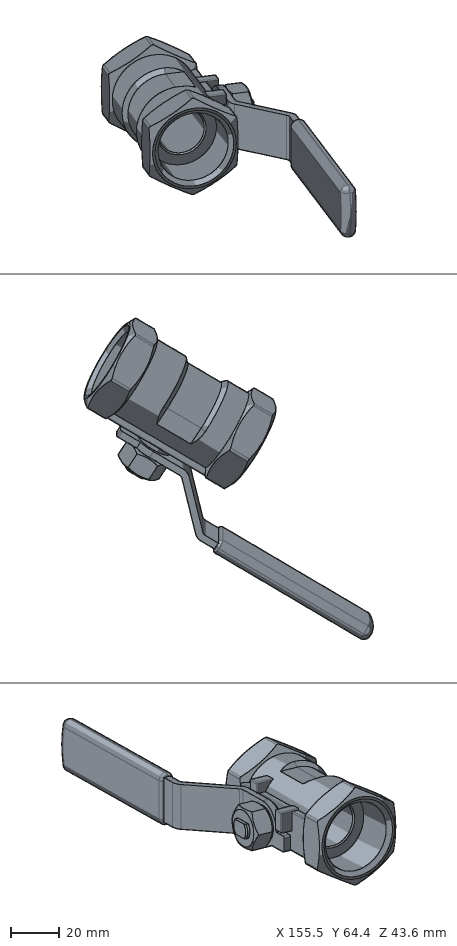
import cadquery as cq
import math


overall_length = 155.5
overall_height = 64.4

housing_length = 71.0
hex_across_flats = 38.1
hex_length = 13.2
hex_corner_radius = 1.2
barrel_diameter = 36.2
cone_angle = 30.0
waist_radius = 16.2
waist_start = -6.2
waist_end = 10.3

port_diameter = 30.3
port_depth = 18.7
port_chamfer = 1.9
seat_diameter = 20.0
seat_chamfer = 0.6

deck_height = 19.0
deck_half_width = 8.9
small_round = 0.5
stop_root = 10.9
lever_stop_x = (-14.3, -9.6)
lever_stop_top = 24.3
lever_stop_z = (0.3, 9.5)
side_stop_x = (10.1, 15.2)
side_stop_top = 20.0
side_stop_z = (deck_half_width, 13.7)

lever_thickness = 3.1
lever_width = 20.0
lever_bottom = 20.8
bend_angle = 45.0
bend_radius = 4.0
lower_bend_x = 16.2
tab_reach = 16.0
tab_z = (-7.8, -0.6)
tab_round = 0.8

neck_diameter = 16.0
nut_across_corners = 20.0
washer_height = 0.6
nut_top = 33.7
stem_diameter = 10.3
stem_across_flats = 6.5
stem_top = 35.5
stem_chamfer = 0.6

sleeve_thickness = 6.4
sleeve_length = 76.0
sleeve_end_sagitta = 1.7
sleeve_edge_radius = 3.1
sleeve_mouth_radius = 1.2

housing_end = housing_length / 2
barrel_radius = barrel_diameter / 2
waist_chamfer = barrel_radius - waist_radius
lever_top = lever_bottom + lever_thickness
nut_bottom = lever_top + washer_height
lever_middle_low = (lever_bottom + lever_top) / 2
lever_middle_high = overall_height - hex_across_flats / 2 - sleeve_thickness / 2
sleeve_wall = (sleeve_thickness - lever_thickness) / 2
sleeve_width = lever_width + 2 * sleeve_wall
sleeve_tip = overall_length - housing_end
sleeve_start = sleeve_tip - sleeve_length
bar_end = sleeve_tip - sleeve_end_sagitta - sleeve_wall


def block(x_range, y_range, z_range):
    """Box between the given limits."""
    size = [high - low for low, high in (x_range, y_range, z_range)]
    corner = (x_range[0], y_range[0], z_range[0])
    return cq.Workplane("XY").box(*size, centered=False).translate(corner)


def stem_cylinder(diameter, bottom, top):
    """Cylinder on the stem axis between two heights along Y."""
    return cq.Workplane("XZ", origin=(0, bottom, 0)).circle(diameter / 2).extrude(bottom - top)


def double_cone(axis_length, outer_radius, face_radius):
    """Cylinder on X whose two ends are turned down to face_radius by a cone."""
    cone_length = (outer_radius - face_radius) * math.tan(math.radians(cone_angle))
    outline = [
        (0, 0),
        (0, face_radius),
        (cone_length, outer_radius),
        (axis_length - cone_length, outer_radius),
        (axis_length, face_radius),
        (axis_length, 0),
    ]
    return cq.Workplane("XY").polyline(outline).close().revolve(360, (0, 0, 0), (1, 0, 0))


def end_hexagon(start_x):
    """Hexagonal pipe end with flats facing +Y and -Y and turned-down corners."""
    across_corners = hex_across_flats / math.cos(math.pi / 6)
    hexagon = cq.Workplane("YZ").polygon(6, across_corners).extrude(hex_length)
    hexagon = hexagon.edges("|X").fillet(hex_corner_radius)
    hexagon = hexagon.rotate((0, 0, 0), (1, 0, 0), 30)
    turned = double_cone(hex_length, across_corners / 2, barrel_radius)
    return hexagon.intersect(turned).translate((start_x, 0, 0))


def waist_groove(overrun):
    """Groove section in X and radius; its sloped sides run past the barrel by the overrun."""
    flare = waist_chamfer + overrun
    rim = waist_radius + flare
    return [
        (waist_start - flare, rim),
        (waist_start, waist_radius),
        (waist_end, waist_radius),
        (waist_end + flare, rim),
    ]


def barrel():
    """Round barrel with a waist; on the stem side the waist has flat walls along Y."""
    start_x = hex_length / 2 - housing_end
    end_x = -start_x
    round_bar = cq.Workplane("YZ", origin=(start_x, 0, 0)).circle(barrel_radius).extrude(end_x - start_x)
    groove = waist_groove(overrun=waist_chamfer)
    ring = cq.Workplane("XZ").polyline(groove).close().revolve(180, (0, 0, 0), (1, 0, 0))
    wall = cq.Workplane("XZ").polyline(groove).close().extrude(-barrel_radius)
    return round_bar.cut(ring).cut(wall).cut(wall.mirror("XY"))


def deck():
    """Flat-topped rail between the hexagons that carries the stem neck."""
    reach = housing_end - hex_length / 2
    rail = block((-reach, reach), (0, deck_height), (-deck_half_width, deck_half_width))
    return rail.edges(">Y and |X").fillet(small_round)


def stop_block(x_range, top, z_range):
    """Rounded block standing on the barrel."""
    stop = block(x_range, (stop_root, top), z_range)
    return stop.faces(">Y or >Z").edges("not <Y").fillet(small_round)


def bore():
    """Stepped, chamfered passage through the housing."""
    port_radius = port_diameter / 2
    seat_radius = seat_diameter / 2
    floor_x = housing_end - port_depth
    half = [
        (housing_end, port_radius + port_chamfer),
        (housing_end - port_chamfer, port_radius),
        (floor_x, port_radius),
        (floor_x, seat_radius + seat_chamfer),
        (floor_x - seat_chamfer, seat_radius),
    ]
    mirrored = [(-x, radius) for x, radius in reversed(half)]
    outline = [(housing_end, 0), *half, *mirrored, (-housing_end, 0)]
    return cq.Workplane("XY").polyline(outline).close().revolve(360, (0, 0, 0), (1, 0, 0))


def lever_bar():
    """Flat bar bent up and back again by the same angle."""
    angle = math.radians(bend_angle)
    rise = lever_middle_high - lever_middle_low
    upper_bend_x = lower_bend_x + rise / math.tan(angle)
    setback = bend_radius * math.tan(angle / 2)
    along_x = setback * math.cos(angle)
    along_y = setback * math.sin(angle)
    path = (
        cq.Workplane("XY")
        .moveTo(0, lever_middle_low)
        .lineTo(lower_bend_x - setback, lever_middle_low)
        .radiusArc((lower_bend_x + along_x, lever_middle_low + along_y), -bend_radius)
        .lineTo(upper_bend_x - along_x, lever_middle_high - along_y)
        .radiusArc((upper_bend_x + setback, lever_middle_high), bend_radius)
        .lineTo(bar_end, lever_middle_high)
    )
    section = cq.Workplane("YZ", origin=(0, lever_middle_low, 0)).rect(lever_thickness, lever_width)
    return section.sweep(path)


def lever():
    """Bent bar with a round eye on the stem and a tab that meets the lever stop."""
    eye = stem_cylinder(lever_width, lever_bottom, lever_top)
    tab = block((-tab_reach, 0), (lever_bottom, lever_top), tab_z)
    tab = tab.edges("<X and |Y").fillet(tab_round)
    return lever_bar().union(eye).union(tab)


def nut():
    """Hexagon nut with corners on the X direction and turned-down corners."""
    height = nut_top - nut_bottom
    hexagon = cq.Workplane("XZ").polygon(6, nut_across_corners).extrude(-height)
    turned = double_cone(height, nut_across_corners / 2, neck_diameter / 2)
    turned = turned.rotate((0, 0, 0), (0, 0, 1), 90)
    return hexagon.intersect(turned).translate((0, nut_bottom, 0))


def stem_tip():
    """Threaded stem end with two flats, standing out of the nut."""
    tip = stem_cylinder(stem_diameter, nut_bottom, stem_top).faces(">Y").chamfer(stem_chamfer)
    half_width = stem_across_flats / 2
    flats = block((-stem_diameter, stem_diameter), (nut_bottom, stem_top), (-half_width, half_width))
    return tip.intersect(flats)


def make_valve():
    """Housing, stem, nut and lever as one solid."""
    valve = barrel().union(deck())
    valve = valve.union(end_hexagon(-housing_end))
    valve = valve.union(end_hexagon(housing_end - hex_length))
    valve = valve.union(stop_block(lever_stop_x, lever_stop_top, lever_stop_z))
    valve = valve.union(stop_block(side_stop_x, side_stop_top, side_stop_z))
    valve = valve.cut(bore())
    valve = valve.union(stem_cylinder(neck_diameter, deck_height - small_round, nut_bottom))
    return valve.union(lever()).union(nut()).union(stem_tip())


def make_sleeve():
    """Rounded grip with a bowed end and a blind slot that fits the lever bar."""
    half_width = sleeve_width / 2
    shoulder_x = sleeve_tip - sleeve_end_sagitta
    grip = (
        cq.Workplane("XZ", origin=(0, lever_middle_high + sleeve_thickness / 2, 0))
        .moveTo(sleeve_start, -half_width)
        .lineTo(shoulder_x, -half_width)
        .threePointArc((sleeve_tip, 0), (shoulder_x, half_width))
        .lineTo(sleeve_start, half_width)
        .close()
        .extrude(sleeve_thickness)
    )
    grip = grip.edges("|Y").edges(">X").fillet(sleeve_edge_radius)
    grip = grip.faces(">Y or <Y").edges("not <X").fillet(sleeve_edge_radius)
    grip = grip.faces("<X").edges().fillet(sleeve_mouth_radius)
    half_slot = lever_thickness / 2
    slot = block(
        (sleeve_start, bar_end),
        (lever_middle_high - half_slot, lever_middle_high + half_slot),
        (-lever_width / 2, lever_width / 2),
    )
    return grip.cut(slot)


valve = make_valve()
sleeve = make_sleeve()

result = cq.Compound.makeCompound([valve.solids().val(), sleeve.solids().val()])